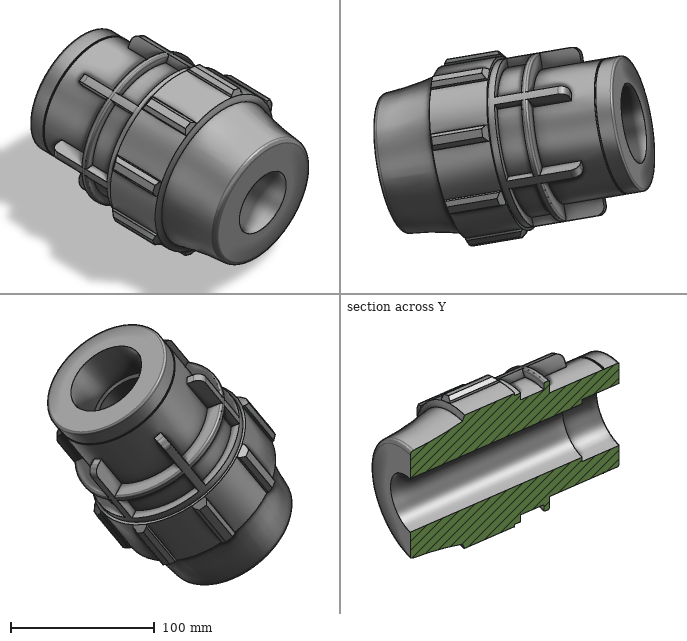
import cadquery as cq

length = 175.0

spigot_radius = 47.8
spigot_edge_fillet = 1.5
groove_start = 12.2
groove_width = 1.0
groove_radius = 95.04 / 2

flange_start = 58.2
flange_end = 63.2
flange_radius = 118.8 / 2
flange_edge_fillet = 1.5
neck_radius = 53.0
collar_start = 82.5

nut_start = 87.5
nut_radius = 61.5
shoulder_start = 129.5
shoulder_end = 131.3
tail_start_radius = 56.6
tail_middle_x = 151.9
tail_middle_radius = 52.0
tail_end_radius = 49.5
tail_edge_fillet = 3.0

entry_radius = 56.66 / 2
entry_depth = 31.0
through_radius = 48.75 / 2

fin_count = 6
fin_first_angle = 0
fin_start = 29.8
fin_root_radius = 44.0
fin_thickness = 6.3
fin_corner_radius = 6.5

grip_count = 8
grip_first_angle = 360 / grip_count / 2
grip_top_radius = 66.0
grip_base_radius = 62.9
grip_top_width = 6.0
grip_base_width = 11.5
grip_root_radius = 58.0
grip_top_start = 91.0
grip_top_end = 127.8


def disc(radius, start, end):
    """Cylinder about the X axis between two X positions."""
    return cq.Workplane("YZ").workplane(offset=start).circle(radius).extrude(end - start)


def make_spigot():
    spigot = disc(spigot_radius, 0, flange_end).faces("<X").edges().fillet(spigot_edge_fillet)
    groove_end = groove_start + groove_width
    groove = disc(spigot_radius, groove_start, groove_end).cut(
        disc(groove_radius, groove_start, groove_end)
    )
    return spigot.cut(groove)


def make_flange_and_collar():
    flange = disc(flange_radius, flange_start, flange_end).edges().fillet(flange_edge_fillet)
    neck = disc(neck_radius, flange_start, nut_start)
    collar = disc(flange_radius, collar_start, nut_start)
    return flange.union(neck).union(collar)


def make_nut():
    nut = (
        cq.Workplane("XY")
        .moveTo(nut_start, 0)
        .lineTo(nut_start, nut_radius)
        .lineTo(shoulder_start, nut_radius)
        .lineTo(shoulder_end, tail_start_radius)
        .threePointArc((tail_middle_x, tail_middle_radius), (length, tail_end_radius))
        .lineTo(length, 0)
        .close()
        .revolve(360, (0, 0, 0), (1, 0, 0))
    )
    return nut.faces(">X").edges().fillet(tail_edge_fillet)


def make_fin():
    """Fin on the +Y side with a rounded outer corner, flush with the flange and collar."""
    profile = (
        cq.Workplane("XY")
        .moveTo(fin_start, fin_root_radius)
        .lineTo(fin_start, flange_radius - fin_corner_radius)
        .radiusArc((fin_start + fin_corner_radius, flange_radius), fin_corner_radius)
        .lineTo(nut_start, flange_radius)
        .lineTo(nut_start, fin_root_radius)
        .close()
    )
    slab = profile.extrude(fin_thickness / 2, both=True)
    return slab.intersect(disc(flange_radius, 0, nut_start))


def make_grip():
    """Trapezoidal rib with sloping ends, standing on the +Y side of the nut."""
    section = (
        cq.Workplane("YZ")
        .workplane(offset=nut_start)
        .polyline(
            [
                (grip_root_radius, -grip_base_width / 2),
                (grip_base_radius, -grip_base_width / 2),
                (grip_top_radius, -grip_top_width / 2),
                (grip_top_radius, grip_top_width / 2),
                (grip_base_radius, grip_base_width / 2),
                (grip_root_radius, grip_base_width / 2),
            ]
        )
        .close()
        .extrude(shoulder_end - nut_start)
    )
    side = (
        cq.Workplane("XY")
        .polyline(
            [
                (nut_start, grip_root_radius),
                (nut_start, nut_radius),
                (grip_top_start, grip_top_radius),
                (grip_top_end, grip_top_radius),
                (shoulder_start, nut_radius),
                (shoulder_start, grip_root_radius),
            ]
        )
        .close()
        .extrude(grip_base_width, both=True)
    )
    return section.intersect(side)


def around_axis(body, feature, count, first_angle):
    """Union copies of a feature, evenly spaced about the X axis, onto a body."""
    for index in range(count):
        angle = first_angle + index * 360 / count
        body = body.union(feature.rotate((0, 0, 0), (1, 0, 0), angle))
    return body


body = make_spigot().union(make_flange_and_collar())
body = around_axis(body, make_fin(), fin_count, fin_first_angle)
body = body.union(make_nut())
body = around_axis(body, make_grip(), grip_count, grip_first_angle)
result = body.cut(disc(entry_radius, 0, entry_depth)).cut(disc(through_radius, 0, length))